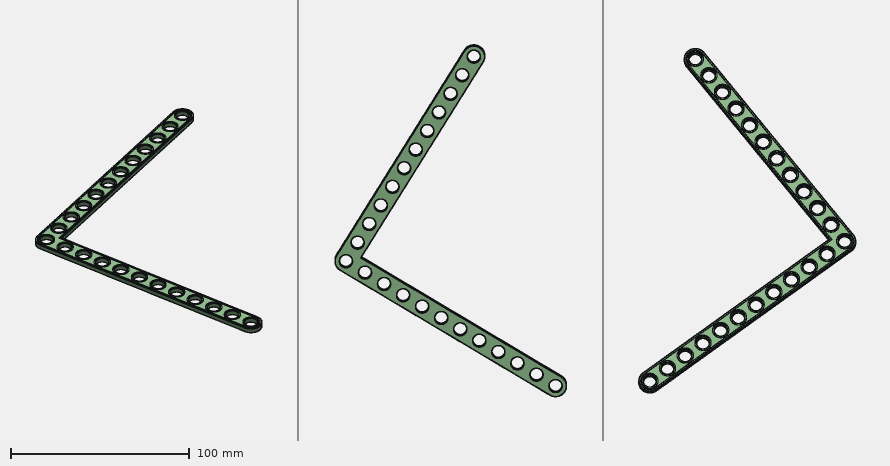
import cadquery as cq

overall_length = 150.0
holes_per_arm = 12
thickness = 3.2
pitch = overall_length / holes_per_arm
width = pitch
hole_reach = pitch * (holes_per_arm - 1)

hole_diameter = 7.0
ring_diameter = 9.2
rim_width = 1.12

recess_depth = 0.25
bevel = 0.3

hole_centers = [(i * pitch, 0) for i in range(holes_per_arm)]
hole_centers += [(0, i * pitch) for i in range(1, holes_per_arm)]


def angle_strip(strip_width, height):
    """L of two round-ended arms, centred on the hole rows, rising from Z = 0."""
    along_x = (
        cq.Workplane("XY")
        .center(hole_reach / 2, 0)
        .slot2D(hole_reach + strip_width, strip_width)
        .extrude(height)
    )
    along_y = along_x.rotate((0, 0, 0), (0, 0, 1), 90)
    return along_x.union(along_y).clean()


def discs_at_holes(diameter, height):
    """One cylinder on every hole centre, rising from Z = 0."""
    return cq.Workplane("XY").pushPoints(hole_centers).circle(diameter / 2).extrude(height)


def floor_recess():
    """Volume removed from the top face, leaving the rim and the rings standing."""
    inner_strip = angle_strip(width - 2 * rim_width, recess_depth)
    recess = inner_strip.cut(discs_at_holes(ring_diameter, recess_depth))
    return recess.translate((0, 0, thickness - recess_depth))


plate = angle_strip(width, thickness).cut(discs_at_holes(hole_diameter, thickness))
plate = plate.faces("<Z or >Z").chamfer(bevel)

result = plate.cut(floor_recess())